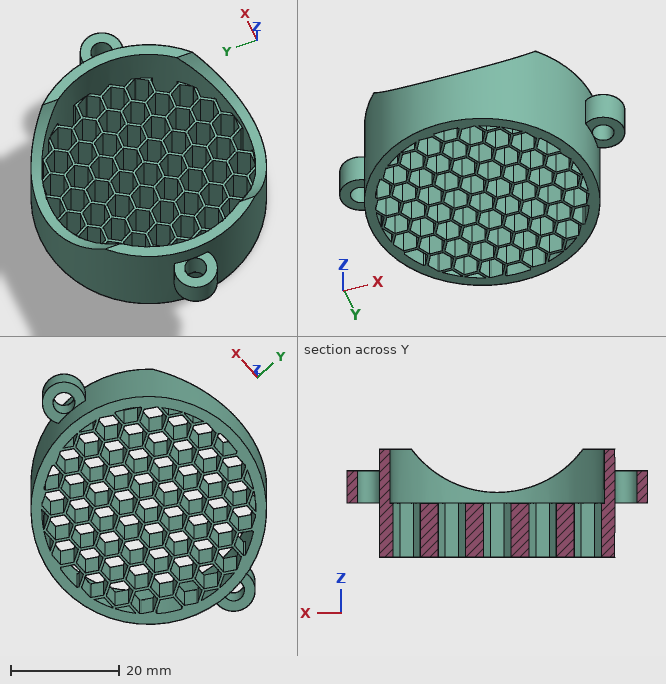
import cadquery as cq
import math

outer_diameter = 43.5
bore_diameter = 39.5
height = 20.0

saddle_radius = bore_diameter / 2
saddle_depth = 8.0

overall_length = 55.5
lug_diameter = 8.0
lug_hole_diameter = 4.0
lug_bottom = 10.0
lug_height = 6.0
lug_offset = (overall_length - lug_diameter) / 2

floor_thickness = 10.0
cell_radius = 2.5
web_thickness = 0.5
cell_pitch = cell_radius * math.sqrt(3) + web_thickness
column_pitch = cell_pitch * math.sqrt(3) / 2


def cylinder(diameter, length, bottom=0.0, x=0.0):
    """Upright cylinder standing at height `bottom`, centred on (x, 0)."""
    return cq.Workplane("XY", origin=(x, 0, bottom)).circle(diameter / 2).extrude(length)


def cell_centres():
    """Centres of every honeycomb cell that reaches into the bore."""
    reach = bore_diameter / 2 + cell_radius
    column_count = math.ceil(reach / column_pitch)
    row_count = math.ceil(reach / cell_pitch)
    centres = []
    for column in range(-column_count, column_count + 1):
        stagger = cell_pitch / 2 * (column % 2)
        for row in range(-row_count - 1, row_count + 1):
            x = column * column_pitch
            y = row * cell_pitch + stagger
            if math.hypot(x, y) < reach:
                centres.append((x, y))
    return centres


def honeycomb_floor():
    """Disc filling the bore, pierced by hexagonal cells."""
    cells = (
        cq.Workplane("XY")
        .pushPoints(cell_centres())
        .polygon(6, 2 * cell_radius)
        .extrude(floor_thickness)
    )
    return cylinder(bore_diameter, floor_thickness).cut(cells)


def saddle():
    """Cylinder along Y whose lowest line lies saddle_depth below the rim."""
    axis_height = height - saddle_depth + saddle_radius
    return (
        cq.Workplane("XZ", origin=(0, 0, axis_height))
        .circle(saddle_radius)
        .extrude(outer_diameter, both=True)
    )


def lug(x):
    """Ring lug at x, trimmed to meet the outside of the wall."""
    ring = cylinder(lug_diameter, lug_height, lug_bottom, x)
    hole = cylinder(lug_hole_diameter, lug_height, lug_bottom, x)
    return ring.cut(hole).cut(cylinder(outer_diameter, height))


wall = cylinder(outer_diameter, height).cut(cylinder(bore_diameter, height))
result = wall.cut(saddle()).union(honeycomb_floor())
for side in (-1, 1):
    result = result.union(lug(side * lug_offset))